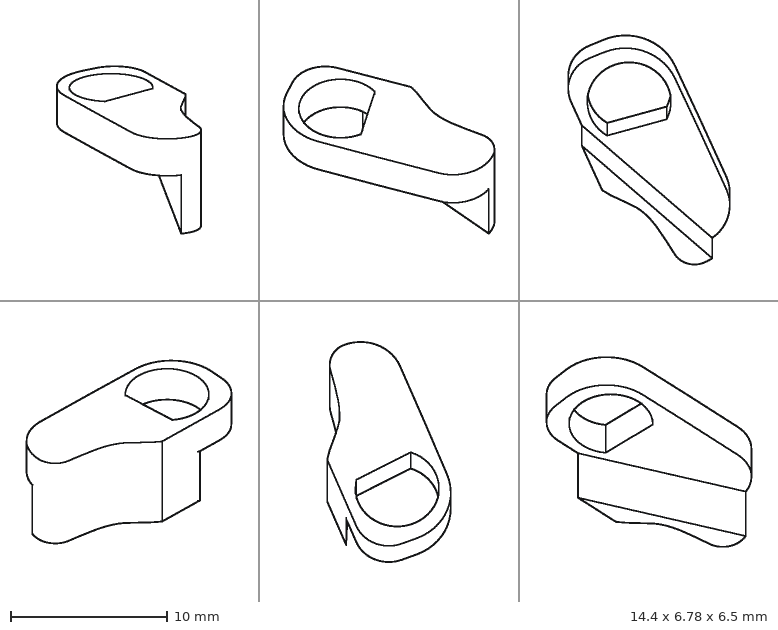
import cadquery as cq

length = 14.36
width = 6.78
height = 6.5
plate_thickness = 2.51
block_height = height - plate_thickness

big_corner_radius = 3.48
small_corner_radius = 2.25
tip_lower_radius = 2.73
shoulder_x = 7.27
top_edge_end = (shoulder_x, width)

front_edge_rise = 0.03
front_bend = (shoulder_x, 0)

sweep_middle = (9.12, 5.3)
sweep_end = (13.11, 4.24)
sweep_start_direction = (1.0, -0.6)
sweep_middle_direction = (1.0, -0.75)
sweep_end_direction = (1.0, -0.15)
tip_corner = (length, tip_lower_radius)
tip_shoulder = (13.99, 3.75)

hole_center = (3.73, 3.36)
hole_radius = 2.69
flat_top = (5.25, 5.56)
flat_bottom = (5.76, 1.62)

wall_start = (3.96, width)
wall_end = (14.26, 2.15)

ARC_MIDPOINT = 0.5 ** 0.5


def outline():
    """Closed plate outline, drawn clockwise from the left edge."""
    big_center_y = big_corner_radius + front_edge_rise
    small_inset = small_corner_radius * (1 - ARC_MIDPOINT)
    big_inset = big_corner_radius * (1 - ARC_MIDPOINT)
    tip_inset = tip_lower_radius * (1 - ARC_MIDPOINT)
    return (
        cq.Workplane("XY")
        .moveTo(0, big_center_y)
        .lineTo(0, width - small_corner_radius)
        .threePointArc((small_inset, width - small_inset), (small_corner_radius, width))
        .lineTo(*top_edge_end)
        .spline(
            [sweep_middle, sweep_end],
            tangents=[sweep_start_direction, sweep_middle_direction, sweep_end_direction],
            includeCurrent=True,
        )
        .threePointArc(tip_shoulder, tip_corner)
        .threePointArc((length - tip_inset, tip_inset), (length - tip_lower_radius, 0))
        .lineTo(*front_bend)
        .lineTo(big_corner_radius, front_edge_rise)
        .threePointArc((big_inset, big_inset + front_edge_rise), (0, big_center_y))
        .close()
    )


def d_hole():
    """Cutter for the round hole with one flat side."""
    far_side = (hole_center[0] - hole_radius, hole_center[1])
    return (
        cq.Workplane("XY")
        .moveTo(*flat_top)
        .threePointArc(far_side, flat_bottom)
        .close()
        .extrude(plate_thickness)
    )


def block():
    """Block below the plate: the outline kept only behind the sloping wall."""
    beyond = 2 * length
    wall_slope = (wall_end[1] - wall_start[1]) / (wall_end[0] - wall_start[0])
    behind_wall = (
        cq.Workplane("XY", origin=(0, 0, -block_height))
        .moveTo(*wall_start)
        .lineTo(beyond, wall_start[1] + wall_slope * (beyond - wall_start[0]))
        .lineTo(beyond, width)
        .close()
        .extrude(block_height)
    )
    return outline().extrude(-block_height).intersect(behind_wall)


plate = outline().extrude(plate_thickness).cut(d_hole())
result = plate.union(block())